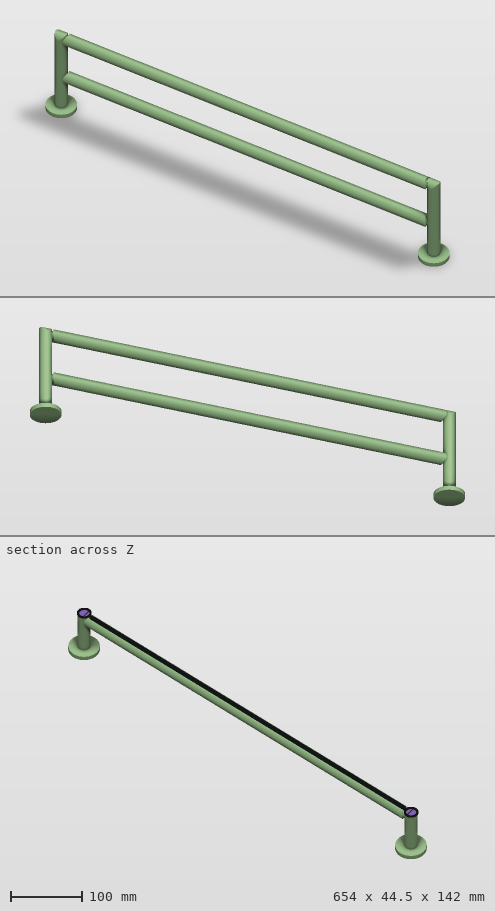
import cadquery as cq

total_length = 654.0
total_height = 142.0

flange_diameter = 44.5
flange_thickness = 6.5

post_diameter = 18.0
rail_diameter = 18.0
rail_spacing = 70.5
joint_gap = 2.5
neck_inset = 2.5

post_radius = post_diameter / 2
rail_radius = rail_diameter / 2
post_x = (total_length - flange_diameter) / 2
upper_rail_z = total_height - rail_radius
lower_rail_z = upper_rail_z - rail_spacing
rail_length = 2 * post_x


def make_post(x):
    """Round post on its flange, with the top rounded over about the X direction."""
    flange = cq.Workplane("XY").center(x, 0).circle(flange_diameter / 2).extrude(flange_thickness)
    post = cq.Workplane("XY").center(x, 0).circle(post_radius).extrude(total_height)
    crown = (
        cq.Workplane("YZ", origin=(x - post_diameter, 0, 0))
        .moveTo(-post_radius, 0)
        .lineTo(post_radius, 0)
        .lineTo(post_radius, total_height - post_radius)
        .threePointArc((0, total_height), (-post_radius, total_height - post_radius))
        .close()
        .extrude(2 * post_diameter)
    )
    return flange.union(post.intersect(crown))


def make_bar(z, radius):
    """Plain round bar along X between the post axes."""
    return cq.Workplane("YZ", origin=(-rail_length / 2, 0, z)).circle(radius).extrude(rail_length)


def make_rail(z):
    """Rail with ends scooped around the posts and a thinner neck joining it to them."""
    rail = make_bar(z, rail_radius)
    for x in (-post_x, post_x):
        scoop = cq.Workplane("XY").center(x, 0).circle(post_radius + joint_gap).extrude(2 * total_height)
        rail = rail.cut(scoop)
    return rail.union(make_bar(z, rail_radius - neck_inset))


result = make_post(-post_x).union(make_post(post_x))
for rail_z in (upper_rail_z, lower_rail_z):
    result = result.union(make_rail(rail_z))